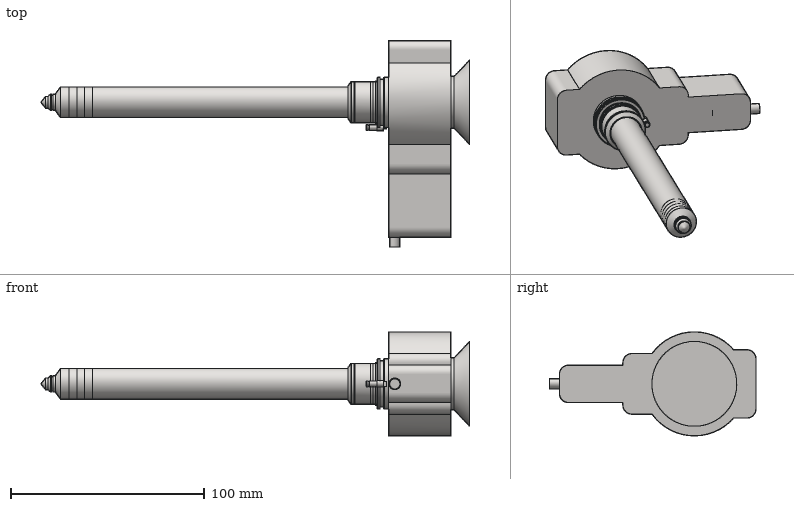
import cadquery as cq


housing_front = 180.0
housing_depth = 32.2
housing_back = housing_front + housing_depth
drum_diameter = 54.0
drum_radius = drum_diameter / 2
back_reach = 32.0
back_half_height = 17.8
shoulder_reach = 37.0
shoulder_half_height = 15.8
arm_reach = 70.0
arm_half_height = 9.8
corner_radius = 4.9

spout_radius = 2.7
spout_clearance = 0.33
spout_hole_radius = spout_radius + spout_clearance
spout_wall = 0.2
spout_x = housing_front + spout_wall + spout_hole_radius
spout_hole_depth = 20.0
spout_end = 75.0

point_cone_length = 2.5
point_radius = 3.0
head_start = 3.8
head_full = 4.9
head_radius = 4.2
head_groove = (5.5, 6.2)
head_groove_radius = 3.8
stem_collar_starts = (14.7, 22.6)
stem_collar_length = 4.0
stem_collar_radius = 7.5

tube_radius = 8.0
tube_nose = 7.5
tube_nose_radius = 4.5
tube_shoulder = 10.2
tube_end = 160.7

sleeve_start = 159.0
sleeve_taper_end = 160.5
sleeve_nose_radius = 8.5
sleeve_radius = 10.7
sleeve_lip_start = 173.4
sleeve_lip_radius = 11.0
sleeve_end = 174.0

sleeve_wall = 0.18
spigot_radius = sleeve_radius - sleeve_wall
spigot_groove_depth = 0.2
spigot_grooves = ((162.0, 162.7), (170.7, 172.0))
neck_radius = 12.0
flange_start = 177.4
flange_radius = 13.0
edge_chamfer = 0.5
stop_end = 179.0
stop_half_width = 1.3
stop_reach = 13.8

washer_end = 175.5

lock_pin_y = -13.0
lock_pin_start = 168.3
lock_pin_radius = 1.5
lock_pin_chamfer = 0.5
lock_pin_groove = (169.4, 170.0)
lock_pin_groove_radius = 1.3
lock_pin_head_start = 174.0
lock_pin_head_step = 0.1
lock_pin_head_radius = lock_pin_radius + lock_pin_head_step

horn_neck_radius = 13.5
horn_neck_length = 1.8
horn_end = 222.0
horn_radius = 22.0


def turned(profile):
    """Turn (x, radius) points about the X axis, closing the outline along that axis."""
    outline = [(x, -radius) for x, radius in profile]
    return cq.Workplane("XY").polyline(outline).close().revolve(360, (0, 0), (1, 0))


def rod(start, end, radius):
    """Cylinder on the X axis between two X positions."""
    return turned([(start, 0), (start, radius), (end, radius), (end, 0)])


def block(y_start, y_end, half_height):
    """Block of the housing's depth between two Y positions."""
    return (
        cq.Workplane("XY")
        .box(housing_depth, y_end - y_start, 2 * half_height, centered=(False, False, True))
        .translate((housing_front, y_start, 0))
    )


def make_housing():
    drum = rod(housing_front, housing_back, drum_radius)
    back = block(0, back_reach, back_half_height).edges("|X and >Y").fillet(corner_radius)
    shoulder = block(-shoulder_reach, 0, shoulder_half_height).edges("|X and <Y").fillet(corner_radius)
    arm = block(-arm_reach, 0, arm_half_height).edges("|X and <Y").fillet(corner_radius)
    spout_hole = make_spout_rod(spout_hole_radius, arm_reach)
    return drum.union(back).union(shoulder).union(arm).cut(spout_hole)


def make_spout_rod(radius, reach):
    """Cylinder along Y from the floor of the spout hole out to -Y = reach."""
    length = reach - (arm_reach - spout_hole_depth)
    return (
        cq.Workplane("XZ", origin=(spout_x, -reach + length, 0))
        .circle(radius)
        .extrude(length)
    )


def make_needle():
    profile = [
        (0, 0),
        (point_cone_length, point_radius),
        (head_start, point_radius),
        (head_full, head_radius),
        (head_groove[0], head_radius),
        (head_groove[0], head_groove_radius),
        (head_groove[1], head_groove_radius),
        (head_groove[1], head_radius),
    ]
    for start in stem_collar_starts:
        end = start + stem_collar_length
        profile += [
            (start, head_radius),
            (start, stem_collar_radius),
            (end, stem_collar_radius),
            (end, head_radius),
        ]
    profile.append((end, 0))
    return turned(profile)


def make_tube(needle):
    tube = turned([
        (tube_nose, 0),
        (tube_nose, tube_nose_radius),
        (tube_shoulder, tube_radius),
        (tube_end, tube_radius),
        (tube_end, 0),
    ])
    return tube.cut(needle)


def make_hub():
    profile = [(tube_end, 0), (tube_end, spigot_radius)]
    for start, end in spigot_grooves:
        floor = spigot_radius - spigot_groove_depth
        profile += [(start, spigot_radius), (start, floor), (end, floor), (end, spigot_radius)]
    profile += [
        (washer_end, spigot_radius),
        (washer_end, neck_radius),
        (flange_start, neck_radius),
        (flange_start, flange_radius - edge_chamfer),
        (flange_start + edge_chamfer, flange_radius),
        (housing_front, flange_radius),
        (housing_front, 0),
    ]
    stop = (
        cq.Workplane("XY")
        .box(stop_end - flange_start, stop_reach - neck_radius, 2 * stop_half_width,
             centered=(False, False, True))
        .translate((flange_start, -stop_reach, 0))
    )
    return turned(profile).union(stop)


def make_sleeve():
    return turned([
        (sleeve_start, tube_radius),
        (sleeve_start, sleeve_nose_radius),
        (sleeve_taper_end, sleeve_radius),
        (sleeve_lip_start, sleeve_radius),
        (sleeve_lip_start, sleeve_lip_radius),
        (sleeve_end, sleeve_lip_radius),
        (sleeve_end, spigot_radius),
        (tube_end, spigot_radius),
        (tube_end, tube_radius),
    ])


def make_lock_pin():
    pin = turned([
        (lock_pin_start, 0),
        (lock_pin_start, lock_pin_radius - lock_pin_chamfer),
        (lock_pin_start + lock_pin_chamfer, lock_pin_radius),
        (lock_pin_groove[0], lock_pin_radius),
        (lock_pin_groove[0], lock_pin_groove_radius),
        (lock_pin_groove[1], lock_pin_groove_radius),
        (lock_pin_groove[1], lock_pin_radius),
        (lock_pin_head_start, lock_pin_radius),
        (lock_pin_head_start, lock_pin_head_radius),
        (flange_start, lock_pin_head_radius),
        (flange_start, 0),
    ])
    return pin.translate((0, lock_pin_y, 0))


def make_washer():
    return turned([
        (sleeve_end, spigot_radius),
        (sleeve_end, flange_radius - edge_chamfer),
        (sleeve_end + edge_chamfer, flange_radius),
        (washer_end, flange_radius),
        (washer_end, spigot_radius),
    ])


def make_horn():
    profile = [
        (housing_back, 0),
        (housing_back, horn_neck_radius),
        (housing_back + horn_neck_length, horn_neck_radius),
        (horn_end, horn_radius),
        (horn_end, 0),
    ]
    return cq.Workplane("XZ").polyline(profile).close().revolve(360, (0, 0), (1, 0))


needle = make_needle()
tube = make_tube(needle)
sleeve = make_sleeve()
lock_pin = make_lock_pin()
washer = make_washer().cut(lock_pin)
hub = make_hub().cut(lock_pin)
housing = make_housing()
spout = make_spout_rod(spout_radius, spout_end)
horn = make_horn()

result = cq.Compound.makeCompound([
    needle.val(),
    tube.val(),
    sleeve.val(),
    lock_pin.val(),
    washer.val(),
    hub.val(),
    housing.val(),
    spout.val(),
    horn.val(),
])